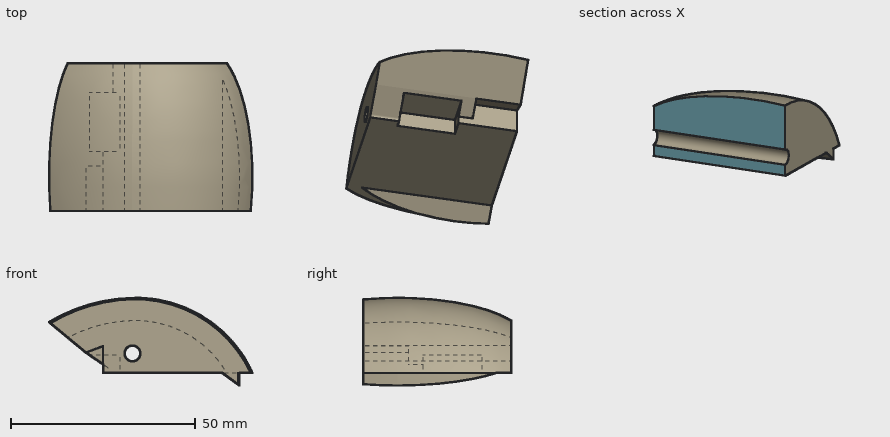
import cadquery as cq
import math

depth = 40.1
crown_z = 20.4
hinge_x = 22.6
hinge_z = 5.3
hinge_diameter = 4.2
left_tip = (0.0, 13.8)
right_tip_x = 55.15

crown_x = 23.45
crown_y = 9.4
crown_half_length = 35.3
crown_drop = 12.2
profile_steps = 8
trim_margin = 2.75

heel = (10.0, 5.5)
heel_wall_x = 14.7
heel_wall_z = 2.3
slope_fillet = 0.95

notch_width = 12.3
notch_top_z = 7.3
pocket_start_y = 16.2
pocket_end_y = 32.1
pocket_height = 4.85
pocket_back_x = 19.3

tooth_root_x = 46.95
tooth_drop = 3.4
tooth_inset = 3.55


def shell_fall(y):
    """Radial drop of the shell below its crown at position y."""
    ratio = (y - crown_y) / crown_half_length
    return crown_drop * (1 - math.sqrt(1 - ratio**2))


def extrude_outline(points, start_y, end_y):
    """Prism with an XZ outline, running from start_y to end_y."""
    outline = cq.Workplane("XZ", origin=(0, start_y, 0)).polyline(points).close()
    return outline.extrude(start_y - end_y)


def revolved_shell(radius, axis_x, axis_z):
    """Solid of revolution about the axis parallel to Y through (axis_x, axis_z)."""
    stations = [depth * step / profile_steps for step in range(profile_steps + 1)]
    rim = [(radius - shell_fall(y), y) for y in stations]
    profile = cq.Workplane("XY").moveTo(0, 0).lineTo(*rim[0])
    profile = profile.spline(rim[1:], includeCurrent=True).lineTo(0, depth).close()
    solid = profile.revolve(360, (0, 0, 0), (0, 1, 0))
    return solid.translate((axis_x, 0, axis_z))


right_span = right_tip_x - crown_x
right_radius = (right_span**2 + crown_z**2) / (2 * crown_z)
right_axis_z = crown_z - right_radius
right_shell = revolved_shell(right_radius, crown_x, right_axis_z)

seam_sine = (hinge_x - crown_x) / right_radius
seam_cosine = math.sqrt(1 - seam_sine**2)
seam_z = right_axis_z + right_radius * seam_cosine
left_span = hinge_x - left_tip[0]
left_fall = seam_z - left_tip[1]
seam_depth = left_span * seam_sine + left_fall * seam_cosine
left_radius = (left_span**2 + left_fall**2) / (2 * seam_depth)
left_axis_x = hinge_x - left_radius * seam_sine
left_axis_z = seam_z - left_radius * seam_cosine
left_shell = revolved_shell(left_radius, left_axis_x, left_axis_z)

block_top_z = crown_z + trim_margin
seam_lean = seam_sine / seam_cosine
seam_top = (hinge_x + (block_top_z - seam_z) * seam_lean, block_top_z)
seam_bottom = (hinge_x - seam_z * seam_lean, 0)

slope_angle = math.atan2(heel[1] - heel_wall_z, heel_wall_x - heel[0])
slope_foot_z = slope_fillet * math.cos(slope_angle)
slope_foot_x = heel[0] + (heel[1] - slope_foot_z) / math.tan(slope_angle)
slope_end_x = slope_foot_x + slope_fillet * (1 - math.sin(slope_angle))
fillet_mid_angle = (math.pi / 2 - slope_angle) / 2
fillet_middle = (
    slope_end_x - slope_fillet * (1 - math.cos(fillet_mid_angle)),
    slope_fillet * math.sin(fillet_mid_angle),
)
outer_corner = (
    left_tip[0] - trim_margin,
    left_tip[1] + trim_margin * (left_tip[1] - heel[1]) / (heel[0] - left_tip[0]),
)
left_block = (
    cq.Workplane("XZ")
    .polyline([(slope_end_x, 0), seam_bottom, seam_top,
               (outer_corner[0], block_top_z), outer_corner, heel,
               (slope_foot_x, slope_foot_z)])
    .threePointArc(fillet_middle, (slope_end_x, 0))
    .close()
    .extrude(-depth)
)
left_half = left_block.intersect(left_shell)

block_end_x = right_tip_x + trim_margin
right_block = extrude_outline(
    [seam_bottom, (block_end_x, 0), (block_end_x, block_top_z), seam_top], 0, depth
)
body = left_half.union(right_block.intersect(right_shell))

heel_block = extrude_outline(
    [(heel_wall_x, 0), (hinge_x, 0), (hinge_x, heel[1]), (heel_wall_x, heel[1])],
    0, pocket_start_y,
)
body = body.union(heel_block)

notch = extrude_outline(
    [heel, (heel_wall_x, notch_top_z), (heel_wall_x, 0), (heel[0], 0)], 0, notch_width
)
body = body.cut(notch)

pocket = extrude_outline(
    [(heel[0], 0), (pocket_back_x, 0), (pocket_back_x, pocket_height), (heel[0], pocket_height)],
    pocket_start_y, pocket_end_y,
)
body = body.cut(pocket)

tooth_tip_x = right_tip_x - tooth_inset
wedge = extrude_outline(
    [(tooth_root_x, 0), (tooth_tip_x, -tooth_drop), (tooth_tip_x, 0)], 0, depth
)


def tooth_wall_x(y):
    """X of the tooth's outer wall at position y."""
    radius = right_radius - shell_fall(y)
    return crown_x + math.sqrt(radius**2 - right_axis_z**2) - tooth_inset


wall_points = [
    (tooth_wall_x(depth * step / profile_steps), depth * step / profile_steps)
    for step in range(profile_steps + 1)
]
tooth_plan = (
    cq.Workplane("XY", origin=(0, 0, -tooth_drop))
    .moveTo(hinge_x, 0)
    .lineTo(*wall_points[0])
    .spline(wall_points[1:], includeCurrent=True)
    .lineTo(hinge_x, depth)
    .close()
    .extrude(tooth_drop)
)
body = body.union(wedge.intersect(tooth_plan))

hinge_hole = (
    cq.Workplane("XZ", origin=(hinge_x, 0, hinge_z)).circle(hinge_diameter / 2).extrude(-depth)
)
result = body.cut(hinge_hole)